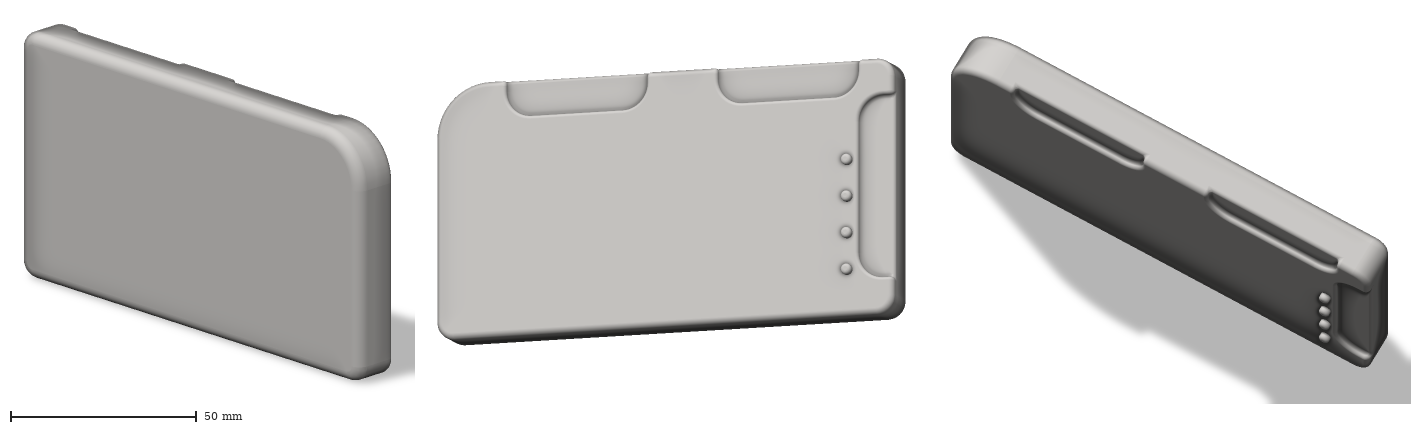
import cadquery as cq

length = 130.0
height = 70.0
thickness = 13.0
small_corner_radius = 5.0
large_corner_radius = 15.0
front_round = 3.0
back_round = 1.5

recess_depth = 2.0
recess_margin = 10.0
recess_corner_radius = 7.0
recess_floor_round = 0.94
recess_rim_round = 0.98
top_recess_count = 2
top_recess_width = 40.0
top_recess_gap = 20.0
side_recess_height = height - 2 * recess_margin
cutter_overrun = 6.5

pin_diameter = 3.0
pin_height = 2.0
pin_round = 0.9
pin_count = 4
pin_pitch = 10.0
pin_x = 13.0
lowest_pin_z = 12.5

contact_tolerance = 0.0001


def make_block(x_min, x_max, z_min, z_max, y_min, y_max):
    """Plain box given by its limits."""
    return cq.Workplane("XY").box(
        x_max - x_min, y_max - y_min, z_max - z_min, centered=False
    ).translate((x_min, y_min, z_min))


def make_slab():
    """Slab with one large corner at the upper right and rounded front and back rims."""
    slab = make_block(0, length, 0, height, 0, thickness)
    corners = [
        (0, 0, small_corner_radius),
        (length, 0, small_corner_radius),
        (0, height, small_corner_radius),
        (length, height, large_corner_radius),
    ]
    for x, z, radius in corners:
        corner_edge = cq.selectors.NearestToPointSelector((x, thickness / 2, z))
        slab = slab.edges(corner_edge).fillet(radius)
    slab = slab.faces("<Y").edges().fillet(front_round)
    return slab.faces(">Y").edges().fillet(back_round)


def make_recess_cutter(x_min, x_max, z_min, z_max, inner_side):
    """Recess volume with two rounded inner corners."""
    floor_y = thickness - recess_depth
    cutter = make_block(x_min, x_max, z_min, z_max, floor_y, thickness + cutter_overrun)
    return cutter.faces(inner_side).edges("|Y").fillet(recess_corner_radius)


def make_recess_cutters():
    """Two recesses along the top side and one along the left side."""
    cutters = []
    for index in range(top_recess_count):
        x_min = recess_margin + index * (top_recess_width + top_recess_gap)
        cutters.append(
            make_recess_cutter(
                x_min, x_min + top_recess_width, height - recess_margin, height + cutter_overrun, "<Z"
            )
        )
    side_top = recess_margin + side_recess_height
    cutters.append(make_recess_cutter(-cutter_overrun, recess_margin, recess_margin, side_top, ">X"))
    return cutters


def lies_on(edge, shape):
    """True when the middle of the edge touches the shape."""
    middle = cq.Vertex.makeVertex(*edge.positionAt(0.5).toTuple())
    return middle.distance(shape) < contact_tolerance


def skin_of(body):
    """Closed outer surface of a solid."""
    return body.val().Shells()[0]


def cut_recess(body, cutter):
    """Cut one recess, round its rim, then round the foot of its walls."""
    cut_body = body.cut(cutter)
    rim = [
        edge
        for edge in cut_body.edges().vals()
        if lies_on(edge, skin_of(body)) and lies_on(edge, skin_of(cutter))
    ]
    rimmed_body = cut_body.newObject(rim).fillet(recess_rim_round)

    floor_outline = cutter.faces("<Y").wires().val()
    foot = [edge for edge in rimmed_body.edges().vals() if lies_on(edge, floor_outline)]
    return rimmed_body.newObject(foot).fillet(recess_floor_round)


def make_pins():
    """Row of pins with rounded tips."""
    centers = [(pin_x, lowest_pin_z + index * pin_pitch) for index in range(pin_count)]
    back_plane = cq.Workplane("XZ", origin=(0, thickness, 0))
    pins = back_plane.pushPoints(centers).circle(pin_diameter / 2).extrude(-pin_height)
    return pins.faces(">Y").edges().fillet(pin_round)


result = make_slab()
for recess_cutter in make_recess_cutters():
    result = cut_recess(result, recess_cutter)
result = result.union(make_pins())